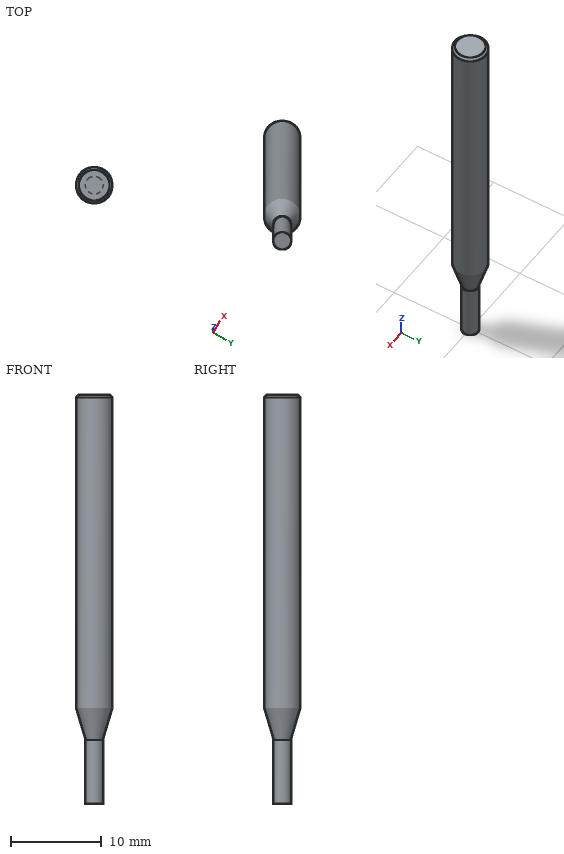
import cadquery as cq

total_length = 45.0
shank_diameter = 4.0
shank_radius = shank_diameter / 2
end_chamfer = 0.3

cutter_radius = shank_radius / 2
cutter_length = 7.0
neck_radius = 0.95
taper_length = 3.5
taper_top = cutter_length + taper_length


def make_cutter():
    """Cylindrical cutting end, standing on the base plane."""
    return cq.Workplane("XY").circle(cutter_radius).extrude(cutter_length)


def make_shank():
    """Tapered neck and chamfered shank, turned about the Z axis."""
    profile = [
        (0, cutter_length),
        (neck_radius, cutter_length),
        (shank_radius, taper_top),
        (shank_radius, total_length - end_chamfer),
        (shank_radius - end_chamfer, total_length),
        (0, total_length),
    ]
    return cq.Workplane("XZ").polyline(profile).close().revolve(360, (0, 0), (0, 1))


cutter = make_cutter()
shank = make_shank()

result = cq.Compound.makeCompound([cutter.val(), shank.val()])